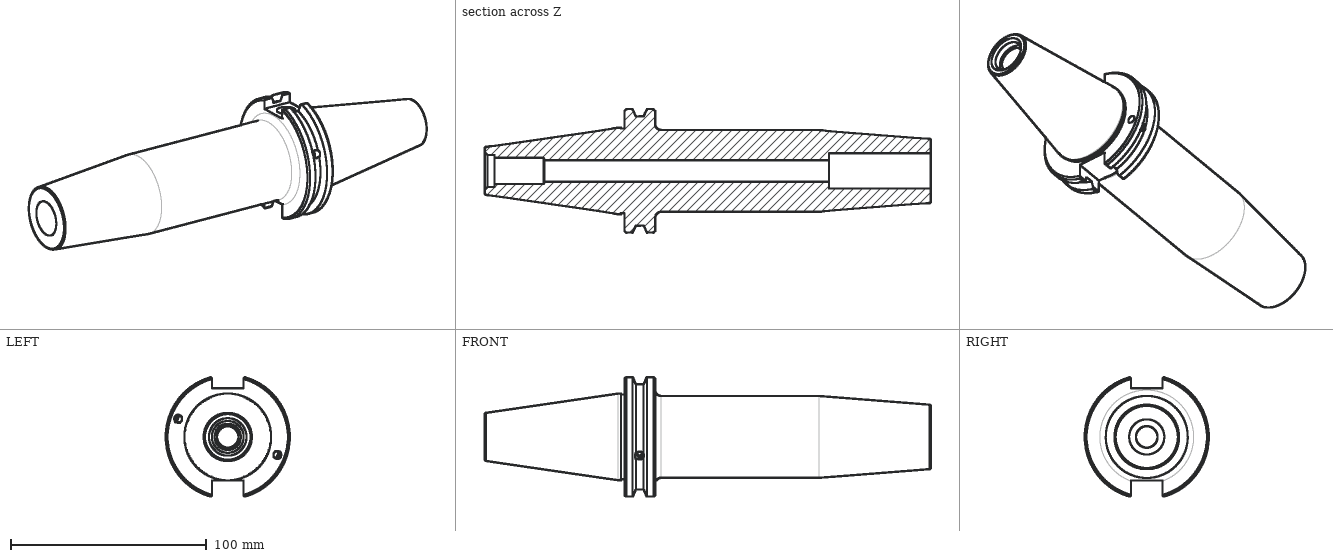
import cadquery as cq
import math


gauge_dia = 44.45
taper_ratio = 7 / 24
taper_length = 68.25
gauge_land = 1.4
neck_dia = 43.6
tail_chamfer = 0.6

flange_dia = 63.55
flange_start = 3.2
flange_end = 19.05
flange_chamfer = 1.0
vee_center = 11.1
vee_mouth_width = 7.2
vee_floor_dia = 56.25
vee_floor_width = 4.0

nose_end = 160.0
body_dia = 42.0
body_fillet = 3.0
nose_tip_dia = 33.0
nose_half_angle = math.radians(4.5)
nose_chamfer = 0.6

drill_half_angle = math.radians(59)

mouth_dia = 19.2
pilot_dia = 16.3
pilot_depth = 5.0
drill_dia = 13.39
drill_depth = 30.0
coolant_bore_dia = 10.92
tool_bore_dia = 18.0
tool_bore_depth = 52.0

slot_width = 16.1
top_slot_floor = 25.0
bottom_slot_floor = 22.4
dimple_dia = 9.53
slot_corner = 0.7

port_circle_dia = 54.0
port_angle = math.radians(20)
axial_port_dia = 4.0
axial_port_depth = 7.5
radial_port_dia = 3.24
radial_port_mouth_dia = 4.2
radial_port_mouth_depth = 0.5
radial_port_depth = 5.0


def revolve_about_x(profile):
    return profile.close().revolve(360, (0, 0, 0), (1, 0, 0))


def make_body():
    flange_r = flange_dia / 2
    body_r = body_dia / 2
    neck_r = neck_dia / 2
    gauge_r = gauge_dia / 2
    tip_r = nose_tip_dia / 2
    floor_r = vee_floor_dia / 2
    tail_r = gauge_r - taper_length * taper_ratio / 2
    vee_mouth = vee_mouth_width / 2
    vee_floor = vee_floor_width / 2
    cone_start = nose_end - (body_r - tip_r) / math.tan(nose_half_angle)
    arc_inset = body_fillet * (1 - math.sqrt(0.5))

    profile = (
        cq.Workplane("XZ")
        .moveTo(-taper_length, 0)
        .lineTo(-taper_length, tail_r - tail_chamfer)
        .lineTo(-taper_length + tail_chamfer, tail_r + tail_chamfer * taper_ratio / 2)
        .lineTo(0, gauge_r)
        .lineTo(gauge_land, gauge_r)
        .lineTo(gauge_land, neck_r)
        .lineTo(flange_start, neck_r)
        .lineTo(flange_start, flange_r - flange_chamfer)
        .lineTo(flange_start + flange_chamfer, flange_r)
        .lineTo(vee_center - vee_mouth, flange_r)
        .lineTo(vee_center - vee_floor, floor_r)
        .lineTo(vee_center + vee_floor, floor_r)
        .lineTo(vee_center + vee_mouth, flange_r)
        .lineTo(flange_end - flange_chamfer, flange_r)
        .lineTo(flange_end, flange_r - flange_chamfer)
        .lineTo(flange_end, body_r + body_fillet)
        .threePointArc(
            (flange_end + arc_inset, body_r + arc_inset),
            (flange_end + body_fillet, body_r),
        )
        .lineTo(cone_start, body_r)
        .lineTo(nose_end - nose_chamfer, tip_r + nose_chamfer * math.tan(nose_half_angle))
        .lineTo(nose_end, tip_r - nose_chamfer)
        .lineTo(nose_end, 0)
    )
    return revolve_about_x(profile)


def make_bores():
    mouth_end = -taper_length + (mouth_dia - pilot_dia) / 2
    pilot_end = -taper_length + pilot_depth
    drill_end = -taper_length + drill_depth
    coolant_start = drill_end + (drill_dia - coolant_bore_dia) / 2 / math.tan(drill_half_angle)
    tool_bore_start = nose_end - tool_bore_depth
    profile = (
        cq.Workplane("XZ")
        .moveTo(-taper_length, 0)
        .lineTo(-taper_length, mouth_dia / 2)
        .lineTo(mouth_end, pilot_dia / 2)
        .lineTo(pilot_end, pilot_dia / 2)
        .lineTo(pilot_end, drill_dia / 2)
        .lineTo(drill_end, drill_dia / 2)
        .lineTo(coolant_start, coolant_bore_dia / 2)
        .lineTo(tool_bore_start, coolant_bore_dia / 2)
        .lineTo(tool_bore_start, tool_bore_dia / 2)
        .lineTo(nose_end, tool_bore_dia / 2)
        .lineTo(nose_end, 0)
    )
    return revolve_about_x(profile)


def make_drive_slot(floor, side):
    length = flange_end + body_fillet - flange_start
    rim_z = math.sqrt((flange_dia / 2) ** 2 - (slot_width / 2 + slot_corner) ** 2)
    half = slot_width / 2
    top = flange_dia / 2
    corner_y = half + slot_corner
    shoulder_z = rim_z - slot_corner
    return (
        cq.Workplane("YZ", origin=(flange_start, 0, 0))
        .polyline(
            [
                (-half, side * floor),
                (half, side * floor),
                (half, side * shoulder_z),
                (corner_y, side * rim_z),
                (corner_y, side * top),
                (-corner_y, side * top),
                (-corner_y, side * rim_z),
                (-half, side * shoulder_z),
            ]
        )
        .close()
        .extrude(length)
    )


def make_dimple():
    radius = dimple_dia / 2
    depth = radius / math.tan(drill_half_angle)
    cone = cq.Solid.makeCone(
        radius, 0, depth, cq.Vector(vee_center, 0, top_slot_floor), cq.Vector(0, 0, -1)
    )
    return cq.Workplane(obj=cone)


def make_axial_port(angle):
    circle_r = port_circle_dia / 2
    start = cq.Vector(flange_start, circle_r * math.cos(angle), circle_r * math.sin(angle))
    hole = cq.Solid.makeCylinder(axial_port_dia / 2, axial_port_depth, start, cq.Vector(1, 0, 0))
    return cq.Workplane(obj=hole)


def make_radial_port(angle):
    bore_r = radial_port_dia / 2
    mouth_r = radial_port_mouth_dia / 2
    rim_y = flange_dia / 2
    floor_y = vee_floor_dia / 2
    mouth_y = floor_y - radial_port_mouth_depth
    cone_y = mouth_y - (mouth_r - bore_r)
    bottom_y = floor_y - radial_port_depth
    return (
        cq.Workplane("XY")
        .moveTo(0, bottom_y)
        .lineTo(bore_r, bottom_y)
        .lineTo(bore_r, cone_y)
        .lineTo(mouth_r, mouth_y)
        .lineTo(mouth_r, rim_y)
        .lineTo(0, rim_y)
        .close()
        .revolve(360, (0, 0, 0), (0, 1, 0))
        .rotate((0, 0, 0), (1, 0, 0), math.degrees(angle))
        .translate((vee_center, 0, 0))
    )


result = make_body().cut(make_bores())
result = result.cut(make_drive_slot(top_slot_floor, 1))
result = result.cut(make_drive_slot(bottom_slot_floor, -1))
result = result.cut(make_dimple())
for angle in (port_angle, port_angle + math.pi):
    result = result.cut(make_axial_port(angle))
    result = result.cut(make_radial_port(angle))